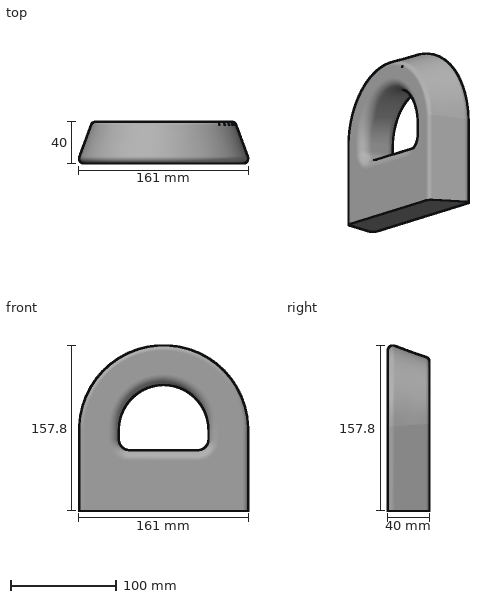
import cadquery as cq
import math

width = 161.0
height = 157.78
thickness = 40.0
edge_round = 5.0
arch_draft = 20.0
side_draft = 20.25
side_height = 80.0

half_width = width / 2
arch_rise = height - side_height
arch_radius = (half_width**2 + arch_rise**2) / (2 * arch_rise)
arch_center_z = height - arch_radius

opening_radius = 42.5
opening_bottom_z = 58.0
opening_corner_radius = 10.0
opening_edge_round = 10.0
selection_margin = 1.0


def tapered_section(largest_radius, draft):
    """Half section from the centre line to a drafted flank with both edges rounded.

    largest_radius is the widest reach of the rounded section.
    """
    slope = math.radians(draft)
    front_x = largest_radius - edge_round
    front_y = edge_round
    back_y = thickness - edge_round
    back_x = front_x - (back_y - front_y) * math.tan(slope)

    def rounding_point(center_x, center_y, angle):
        return (
            center_x + edge_round * math.cos(angle),
            center_y + edge_round * math.sin(angle),
        )

    front_middle = rounding_point(front_x, front_y, (slope - math.pi / 2) / 2)
    front_end = rounding_point(front_x, front_y, slope)
    back_start = rounding_point(back_x, back_y, slope)
    back_middle = rounding_point(back_x, back_y, (slope + math.pi / 2) / 2)
    return (
        cq.Workplane("XY")
        .lineTo(front_x, 0)
        .threePointArc(front_middle, front_end)
        .lineTo(*back_start)
        .threePointArc(back_middle, (back_x, thickness))
        .lineTo(0, thickness)
        .close()
    )


def make_body():
    """Rounded cone for the arch over a straight base, trimmed by the two tapered sides."""
    arch = (
        tapered_section(arch_radius, arch_draft)
        .revolve(360, (0, 0, 0), (0, 1, 0))
        .translate((0, 0, arch_center_z))
    )
    base = cq.Workplane("XY").box(
        2 * arch_radius, thickness, arch_center_z, centered=(True, False, False)
    )
    half_sides = tapered_section(half_width, side_draft).extrude(height)
    sides = half_sides.union(half_sides.mirror("YZ"))
    return arch.union(base).intersect(sides).clean()


def make_opening():
    """Straight D-shaped cutter through the full thickness."""
    return (
        cq.Workplane("XZ")
        .moveTo(-opening_radius, opening_bottom_z)
        .lineTo(opening_radius, opening_bottom_z)
        .lineTo(opening_radius, arch_center_z)
        .threePointArc((0, arch_center_z + opening_radius), (-opening_radius, arch_center_z))
        .close()
        .extrude(-thickness)
        .edges("|Y and <Z")
        .fillet(opening_corner_radius)
    )


def round_opening_edges(body):
    """Round the front and back rims of the opening."""
    reach = opening_radius + selection_margin
    rim_zone = cq.selectors.BoxSelector(
        (-reach, -selection_margin, opening_bottom_z - selection_margin),
        (reach, thickness + selection_margin, arch_center_z + reach),
        boundingbox=True,
    )
    rims = body.faces("<Y or >Y").edges(rim_zone)
    return rims.fillet(opening_edge_round)


result = round_opening_edges(make_body().cut(make_opening()))